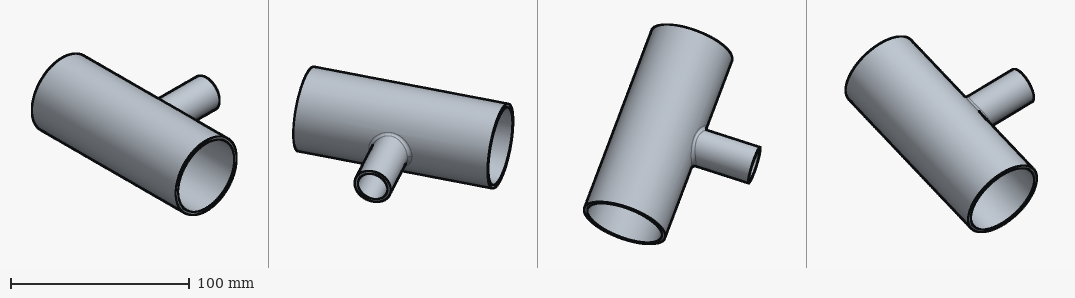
import cadquery as cq

run_length = 114.0
run_diameter = 48.3
run_bore = 44.3

branch_diameter = 21.3
branch_bore = 17.3
branch_reach = 57.0

junction_radius = (run_diameter - run_bore) / 2


def run_cylinder(diameter):
    """Solid cylinder along X over the whole run."""
    return cq.Workplane("YZ").circle(diameter / 2).extrude(run_length / 2, both=True)


def branch_cylinder(diameter):
    """Solid cylinder along +Y from the run axis to the branch end."""
    return cq.Workplane("XZ").circle(diameter / 2).extrude(-branch_reach)


def junction_edges():
    """Selector for the edge that lies wholly within a box around the foot of the branch."""
    half_width = branch_diameter
    return cq.selectors.BoxSelector(
        (-half_width, 0, -half_width),
        (half_width, run_diameter / 2 + junction_radius, half_width),
        boundingbox=True,
    )


tee = run_cylinder(run_diameter).union(branch_cylinder(branch_diameter))
tee = tee.edges(junction_edges()).fillet(junction_radius)

result = tee.cut(run_cylinder(run_bore)).cut(branch_cylinder(branch_bore))